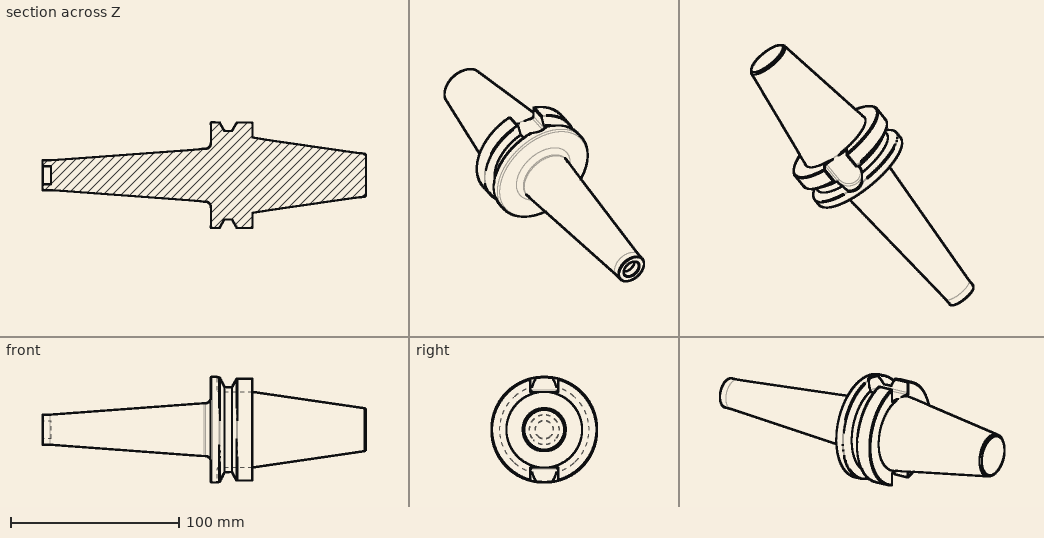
import cadquery as cq
import math


GAUGE_DIAMETER = 44.45
TAPER_RATIO = 7 / 24
TAPER_LENGTH = 65.4
TAPER_END_CHAMFER = 1.0
GAUGE_GAP = 2.0

FLANGE_DIAMETER = 63.0
FLANGE_WIDTH = 25.0
FLANGE_FRONT_FILLET = 1.0
FLANGE_REAR_CHAMFER = 0.5

GROOVE_DIAMETER = 53.0
GROOVE_FLOOR_WIDTH = 4.4
GROOVE_CENTRE_FROM_REAR = 14.6
GROOVE_FLANK_ANGLE = 30.0
GROOVE_LIP_FILLET = 0.6

SLOT_WIDTH = 16.1
SLOT_FLOOR_HEIGHT = 22.5
SLOT_END_FROM_FRONT = 3.9
SLOT_FLOOR_FILLET = 1.0
SLOT_EDGE_CHAMFER = 0.5
EDGE_ZONE_HEIGHT = SLOT_FLOOR_HEIGHT + 2 * SLOT_FLOOR_FILLET

NOSE_LENGTH = 100.0
TIP_DIAMETER = 18.0
TIP_LENGTH = 4.6
NECK_DIAMETER = 31.6
NECK_LENGTH = 1.0
NECK_FILLET = 3.0
BORE_DIAMETER = 10.5
BORE_DEPTH = 5.0
TIP_EDGE_CHAMFER = 0.3

X_FLANGE_FRONT = 0.0
X_FLANGE_REAR = FLANGE_WIDTH
X_GAUGE = X_FLANGE_REAR + GAUGE_GAP
X_TAPER_END = X_GAUGE + TAPER_LENGTH
X_TIP = -NOSE_LENGTH
X_FILLET_START = X_FLANGE_FRONT - NECK_FILLET
X_NECK_START = X_FILLET_START - NECK_LENGTH


def taper_radius(x):
    """Radius of the spindle taper at axial position x."""
    return (GAUGE_DIAMETER - (x - X_GAUGE) * TAPER_RATIO) / 2


def make_body():
    """Revolve the nose, flange and spindle taper in one outline."""
    neck_radius = NECK_DIAMETER / 2
    flange_radius = FLANGE_DIAMETER / 2
    fillet_reach = NECK_FILLET * math.sqrt(0.5)
    x_chamfer = X_TAPER_END - TAPER_END_CHAMFER
    profile = (
        cq.Workplane("XZ")
        .moveTo(X_TIP, 0)
        .lineTo(X_TIP, TIP_DIAMETER / 2 - TIP_EDGE_CHAMFER)
        .lineTo(X_TIP + TIP_EDGE_CHAMFER, TIP_DIAMETER / 2)
        .lineTo(X_TIP + TIP_LENGTH, TIP_DIAMETER / 2)
        .lineTo(X_NECK_START, neck_radius)
        .lineTo(X_FILLET_START, neck_radius)
        .threePointArc(
            (X_FILLET_START + fillet_reach, neck_radius + NECK_FILLET - fillet_reach),
            (X_FLANGE_FRONT, neck_radius + NECK_FILLET),
        )
        .lineTo(X_FLANGE_FRONT, flange_radius - FLANGE_FRONT_FILLET)
        .radiusArc((X_FLANGE_FRONT + FLANGE_FRONT_FILLET, flange_radius), FLANGE_FRONT_FILLET)
        .lineTo(X_FLANGE_REAR - FLANGE_REAR_CHAMFER, flange_radius)
        .lineTo(X_FLANGE_REAR, flange_radius - FLANGE_REAR_CHAMFER)
        .lineTo(X_FLANGE_REAR, taper_radius(X_FLANGE_REAR))
        .lineTo(x_chamfer, taper_radius(x_chamfer))
        .lineTo(X_TAPER_END, taper_radius(x_chamfer) - TAPER_END_CHAMFER)
        .lineTo(X_TAPER_END, 0)
        .close()
    )
    return profile.revolve(360, (0, 0, 0), (1, 0, 0))


def cut_drive_slot(body, side):
    """Cut a round-ended slot open to the flange rear; side is +1 for +Z, -1 for -Z."""
    half_width = SLOT_WIDTH / 2
    x_end = X_FLANGE_FRONT + SLOT_END_FROM_FRONT
    x_open = X_FLANGE_REAR + SLOT_WIDTH
    floor_selector = "<Z" if side > 0 else ">Z"
    cutter = (
        cq.Workplane("XY")
        .workplane(offset=side * SLOT_FLOOR_HEIGHT)
        .moveTo(x_open, -half_width)
        .lineTo(x_end + half_width, -half_width)
        .threePointArc((x_end, 0), (x_end + half_width, half_width))
        .lineTo(x_open, half_width)
        .close()
        .extrude(side * FLANGE_DIAMETER / 2)
        .faces(floor_selector)
        .edges("not >X")
        .fillet(SLOT_FLOOR_FILLET)
    )
    edge_zone = cq.selectors.BoxSelector(
        (X_FLANGE_FRONT + FLANGE_FRONT_FILLET, -SLOT_WIDTH / 2 - SLOT_EDGE_CHAMFER, side * EDGE_ZONE_HEIGHT),
        (X_GAUGE, SLOT_WIDTH / 2 + SLOT_EDGE_CHAMFER, side * FLANGE_DIAMETER),
    )
    return body.cut(cutter).edges(edge_zone).chamfer(SLOT_EDGE_CHAMFER)


def lip_arc_ends(x_lip, outward):
    """Start and end of a groove lip fillet; outward is the axial direction away from the groove."""
    rim_radius = FLANGE_DIAMETER / 2
    flank = math.radians(GROOVE_FLANK_ANGLE)
    tangent = GROOVE_LIP_FILLET * math.tan((math.pi / 2 - flank) / 2)
    on_flank = (x_lip - outward * tangent * math.sin(flank), rim_radius - tangent * math.cos(flank))
    on_rim = (x_lip + outward * tangent, rim_radius)
    return on_flank, on_rim


def make_groove():
    """Ring removed from the flange rim for the tool gripper, with rounded lips."""
    floor_radius = GROOVE_DIAMETER / 2
    rim_radius = FLANGE_DIAMETER / 2
    x_centre = X_FLANGE_REAR - GROOVE_CENTRE_FROM_REAR
    half_floor = GROOVE_FLOOR_WIDTH / 2
    half_mouth = half_floor + (rim_radius - floor_radius) * math.tan(math.radians(GROOVE_FLANK_ANGLE))
    front_flank, front_rim = lip_arc_ends(x_centre - half_mouth, -1)
    rear_flank, rear_rim = lip_arc_ends(x_centre + half_mouth, 1)
    profile = (
        cq.Workplane("XZ")
        .moveTo(x_centre - half_floor, floor_radius)
        .lineTo(x_centre + half_floor, floor_radius)
        .lineTo(*rear_flank)
        .radiusArc(rear_rim, GROOVE_LIP_FILLET)
        .lineTo(*front_rim)
        .radiusArc(front_flank, GROOVE_LIP_FILLET)
        .close()
    )
    return profile.revolve(360, (0, 0, 0), (1, 0, 0))


def make_bore():
    """Blind tool bore in the nose with a 45 degree chamfer at its mouth."""
    bore_radius = BORE_DIAMETER / 2
    profile = (
        cq.Workplane("XZ")
        .moveTo(X_TIP, 0)
        .lineTo(X_TIP, bore_radius + TIP_EDGE_CHAMFER)
        .lineTo(X_TIP + TIP_EDGE_CHAMFER, bore_radius)
        .lineTo(X_TIP + BORE_DEPTH, bore_radius)
        .lineTo(X_TIP + BORE_DEPTH, 0)
        .close()
    )
    return profile.revolve(360, (0, 0, 0), (1, 0, 0))


result = make_body()
for slot_side in (1, -1):
    result = cut_drive_slot(result, slot_side)
result = result.cut(make_groove()).cut(make_bore())